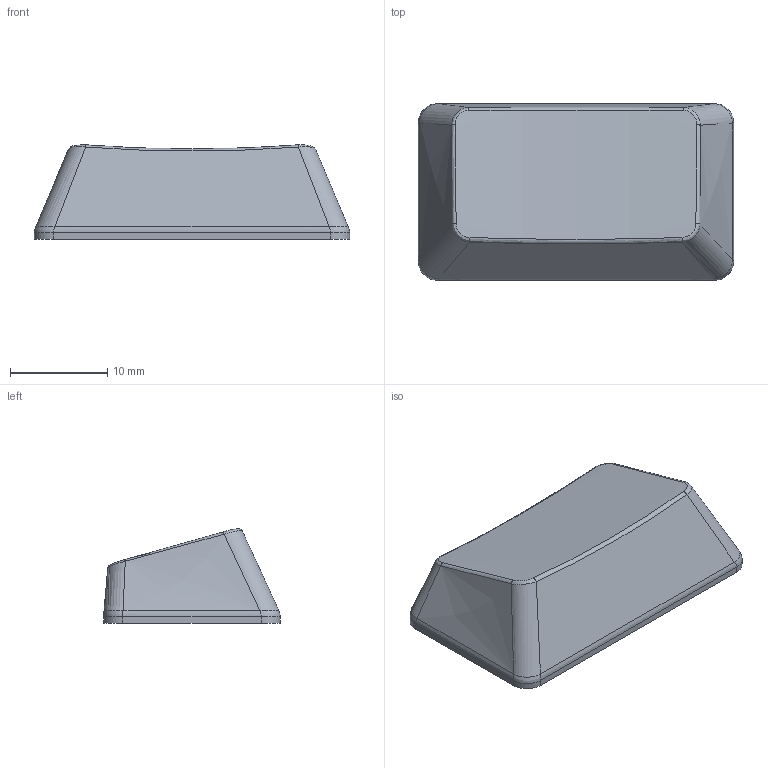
import cadquery as cq
import math

base_length = 32.45
base_width = 18.16
base_corner_radius = 1.95

skirt_height = 0.65
bend_height = 0.65
bend_top_z = skirt_height + bend_height
bend_middle_z = skirt_height + bend_height / 2

top_tilt = math.radians(15.8)
rim_height = 8.36
rim_allowance = 0.25
top_length = 25.2
top_front_y = -4.93
top_back_y = 8.63
top_corner_radius = 1.85

dish_radius = 137.0
dish_depth = 0.45
rim_fillet_radius = 0.4

up_the_back = cq.Vector(0, math.cos(top_tilt), -math.sin(top_tilt))
out_of_top = cq.Vector(0, math.sin(top_tilt), math.cos(top_tilt))


def top_stock_z(y):
    return rim_height + rim_allowance - y * math.tan(top_tilt)


top_centre_y = (top_front_y + top_back_y) / 2
front_lean = (top_front_y + base_width / 2) / (top_stock_z(top_front_y) - bend_middle_z)
back_lean = (base_width / 2 - top_back_y) / (top_stock_z(top_back_y) - bend_middle_z)
side_lean = (base_length - top_length) / 2 / (top_stock_z(top_centre_y) - bend_middle_z)


def rounded_rectangle(length, width, corner_radius):
    return cq.Sketch().rect(length, width).vertices().fillet(corner_radius)


def bend_section(z):
    """Outline within the bend, whose walls curve as parabolas from upright to their full lean."""
    inset_per_lean = (z - skirt_height) ** 2 / (2 * bend_height)
    length = base_length - 2 * side_lean * inset_per_lean
    width = base_width - (front_lean + back_lean) * inset_per_lean
    centre_y = (front_lean - back_lean) * inset_per_lean / 2
    outline = rounded_rectangle(length, width, base_corner_radius)
    return outline.moved(cq.Location(cq.Vector(0, centre_y, z)))


def top_section():
    """Outline of the tilted top, raised above the rim plane by the rim allowance."""
    plane = cq.Plane(
        origin=(0, top_centre_y, top_stock_z(top_centre_y)),
        xDir=(1, 0, 0),
        normal=out_of_top.toTuple(),
    )
    slope_width = (top_back_y - top_front_y) / math.cos(top_tilt)
    outline = rounded_rectangle(top_length, slope_width, top_corner_radius)
    return outline.moved(cq.Location(plane))


def make_skirt():
    outline = rounded_rectangle(base_length, base_width, base_corner_radius)
    return cq.Workplane("XY").placeSketch(outline).extrude(skirt_height)


def make_bend():
    sections = [bend_section(z) for z in (skirt_height, bend_middle_z, bend_top_z)]
    return cq.Workplane("XY").placeSketch(*sections).loft()


def make_walls():
    return cq.Workplane("XY").placeSketch(bend_section(bend_top_z), top_section()).loft(ruled=True)


def make_dish():
    bottom = cq.Vector(0, 0, rim_height - dish_depth)
    centre = bottom + out_of_top * dish_radius
    start = centre - up_the_back * base_width
    return cq.Workplane(cq.Solid.makeCylinder(dish_radius, 2 * base_width, start, up_the_back))


def round_rim(body):
    top_point = (0, 0, rim_height - dish_depth)
    dish_face = body.faces(cq.selectors.NearestToPointSelector(top_point))
    return dish_face.edges().fillet(rim_fillet_radius)


keycap = make_skirt().union(make_bend()).union(make_walls())
result = round_rim(keycap.cut(make_dish()))